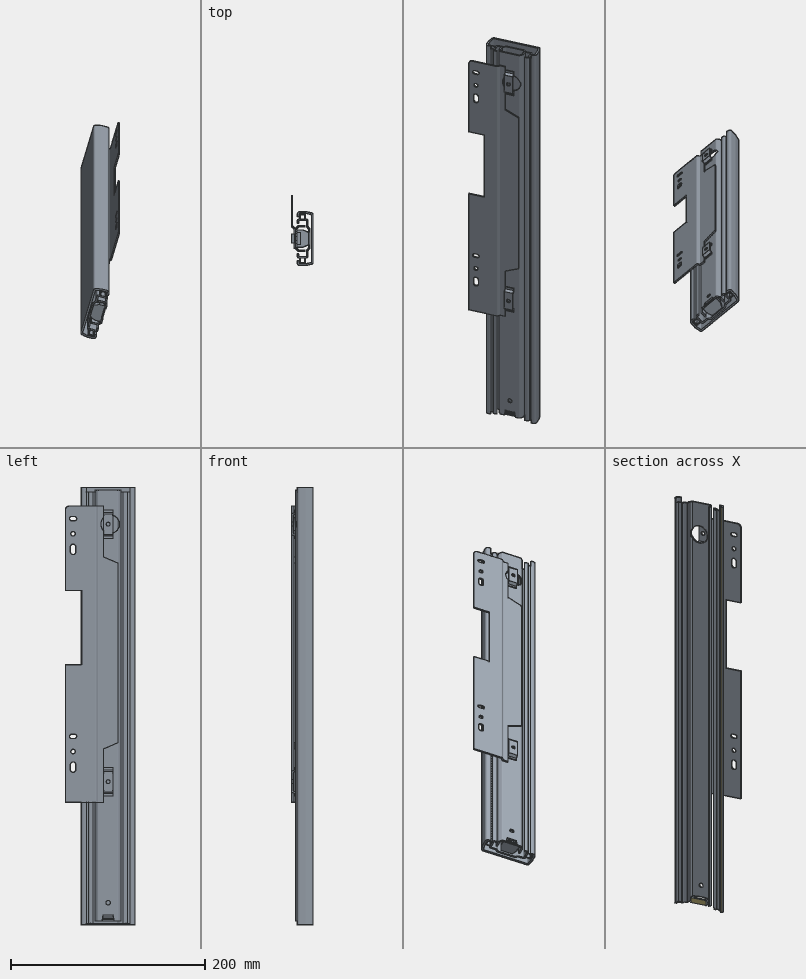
import cadquery as cq


depth = 22.6
length = 450.0
half_height = 27.8
plate_edge_y = 71.89 - half_height

outer_sheet = 2.0
outer_web_x = depth - outer_sheet / 2
outer_race_y = half_height - outer_sheet / 2
outer_flange_y = outer_race_y - 1.4
outer_race_back_x = 15.0
outer_lip_x = 7.0
outer_lip_end_y = 23.4
outer_race_bend = 2.0
outer_step_bend = 1.0
outer_web_bend = 1.6

mid_sheet = 1.6
mid_bottom_z = 1.5
mid_top_z = 445.3
mid_web_x = 18.6
mid_web_y = 9.5
mid_flange_x = 16.4
mid_flange_y = 12.5
mid_race_y = 19.2
mid_lip_x = 6.9
mid_lip_end_y = 16.2
mid_bend = 1.0

inner_sheet = 1.6
inner_bottom_z = 4.0
inner_top_z = 447.3
inner_face_x = 4.1
inner_web_x = inner_face_x + inner_sheet / 2
inner_web_y = 10.2
inner_flange_y = 12.6
inner_flange_front_x = 7.6
inner_flange_back_x = 13.5
inner_bend = 0.8
rail_hole_z = 22.8
rail_hole_diameter = 4.5
window_radius = 9.5
window_y = -2.0

bridge_width = 9.5
bridge_foot_span = 29.0
bridge_foot_length = 2.4
bridge_foot_rise = 1.0
bridge_top_span = 21.0
bridge_hole_diameter = 4.0
upper_bridge_z = 412.2
lower_bridge_z = 147.3

bracket_sheet = 1.5
bracket_bottom_z = 126.0
bracket_top_z = 430.9
bracket_step_top_y = 12.6
bracket_step_foot_y = 10.4
bracket_bend = 1.0
bracket_corner_radius = 4.0
bracket_notch_bottom_z = 267.8
bracket_notch_top_z = 343.7
bracket_notch_y = 26.9
tongue_end_y = bridge_width / 2
slope_rise = 6.5
tongue_bottom_z = 181.0
tongue_top_z = 378.5
bracket_hole_y = plate_edge_y - 8.0
hole_group_pitch = 224.0
lower_hole_z = 178.3
cross_slot_rise = 15.6
cross_slot_length = 7.2
cross_slot_width = 4.2
round_hole_diameter = 4.4
long_slot_drop = 16.0
long_slot_length = 10.5
long_slot_width = 5.4

cage_sheet = 1.0
cage_clearance = 0.4
cage_corner_radius = 0.8
cage_front_x = 8.3
cage_back_x = 14.8
cage_outside_y = outer_race_y - outer_sheet / 2 - cage_clearance
cage_inside_y = mid_race_y + mid_sheet / 2

stop_back_x = mid_web_x - mid_sheet / 2
stop_shoulder_x = 12.0
stop_front_width = 18.0
stop_back_width = 13.0
stop_height = 6.0
stop_pocket_depth = 4.0
stop_pocket_width = 12.0
stop_pocket_height = 2.0
stop_groove_height = 1.4
stop_opening_top_width = 10.0
stop_opening_bottom_width = 13.0


def mirrored(half_path):
    """Complete a (depth, height) half path, listed from its free end to the web, below Y = 0."""
    return half_path + [(x, -y) for x, y in reversed(half_path)]


def bent_sheet(path, thickness, bends, bottom_z, top_z):
    """Sheet metal profile following a centre line, with one bend radius for each inner corner."""
    wire = cq.Wire.makePolygon([cq.Vector(x, y, 0) for x, y in path])
    for (x, y), bend in zip(path[1:-1], bends):
        corner = cq.Vector(x, y, 0)
        vertex = min(wire.Vertices(), key=lambda v: (v.Center() - corner).Length)
        wire = wire.fillet(bend, [vertex])
    section = cq.Workplane("XY").newObject([wire]).toPending().offset2D(thickness / 2)
    return section.extrude(top_z - bottom_z).translate((0, 0, bottom_z))


def block(x_range, y_range, z_range):
    """Box given by its limits along each axis."""
    sizes = [high - low for low, high in (x_range, y_range, z_range)]
    corner = (x_range[0], y_range[0], z_range[0])
    return cq.Workplane("XY").box(*sizes, centered=False).translate(corner)


def depth_drill(y, z, diameter):
    """Round cutter along X, through the bracket and the inner rail web."""
    return cq.Workplane("YZ").center(y, z).circle(diameter / 2).extrude(inner_face_x + 2 * inner_sheet)


def depth_slot(y, z, slot_length, width, angle):
    """Slotted cutter along X; angle 0 lies along Y and 90 along Z."""
    return cq.Workplane("YZ").center(y, z).slot2D(slot_length, width, angle).extrude(inner_face_x)


def make_outer_rail():
    half_path = [
        (outer_lip_x, outer_lip_end_y),
        (outer_lip_x, outer_race_y),
        (outer_race_back_x, outer_race_y),
        (outer_web_x, outer_flange_y),
    ]
    half_bends = [outer_race_bend, outer_step_bend, outer_web_bend]
    bends = half_bends + half_bends[::-1]
    return bent_sheet(mirrored(half_path), outer_sheet, bends, 0, length)


def make_middle_rail():
    half_path = [
        (mid_lip_x, mid_lip_end_y),
        (mid_lip_x, mid_race_y),
        (mid_flange_x, mid_race_y),
        (mid_flange_x, mid_flange_y),
        (mid_web_x, mid_web_y),
    ]
    path = mirrored(half_path)
    bends = [mid_bend] * (len(path) - 2)
    return bent_sheet(path, mid_sheet, bends, mid_bottom_z, mid_top_z)


def make_bridge(z):
    """Raised strip standing on the inner rail web, with sloping ends and a centre hole."""
    foot = bridge_foot_span / 2
    top = bridge_top_span / 2
    ramp = foot - bridge_foot_length
    foot_x = inner_face_x - bridge_foot_rise
    outline = [
        (inner_face_x, -foot),
        (foot_x, -foot),
        (foot_x, -ramp),
        (0, -top),
        (0, top),
        (foot_x, ramp),
        (foot_x, foot),
        (inner_face_x, foot),
        (inner_face_x, ramp - inner_sheet),
        (inner_sheet, top - inner_sheet),
        (inner_sheet, inner_sheet - top),
        (inner_face_x, inner_sheet - ramp),
    ]
    strip = cq.Workplane("XZ").polyline(outline).close().extrude(bridge_width / 2, both=True)
    strip = strip.translate((0, 0, z))
    return strip.cut(depth_drill(0, z, bridge_hole_diameter))


def make_inner_rail():
    half_path = [
        (inner_flange_back_x, inner_flange_y),
        (inner_flange_front_x, inner_flange_y),
        (inner_web_x, inner_web_y),
    ]
    path = mirrored(half_path)
    bends = [inner_bend] * (len(path) - 2)
    rail = bent_sheet(path, inner_sheet, bends, inner_bottom_z, inner_top_z)
    rail = rail.cut(depth_drill(0, rail_hole_z, rail_hole_diameter))
    rail = rail.cut(depth_drill(window_y, upper_bridge_z, 2 * window_radius))
    opening_top_z = inner_bottom_z + stop_height
    opening_outline = [
        (-stop_opening_bottom_width / 2, inner_bottom_z - inner_sheet),
        (stop_opening_bottom_width / 2, inner_bottom_z - inner_sheet),
        (stop_opening_top_width / 2, opening_top_z),
        (-stop_opening_top_width / 2, opening_top_z),
    ]
    opening = cq.Workplane("YZ").polyline(opening_outline).close().extrude(inner_face_x + inner_sheet)
    rail = rail.cut(opening)
    for bridge_z in (upper_bridge_z, lower_bridge_z):
        rail = rail.union(make_bridge(bridge_z))
    return rail


def make_bracket():
    path = [
        (bracket_sheet / 2, plate_edge_y + bracket_sheet),
        (bracket_sheet / 2, bracket_step_top_y),
        (inner_face_x - bracket_sheet / 2, bracket_step_foot_y),
        (inner_face_x - bracket_sheet / 2, -inner_web_y - bracket_sheet),
    ]
    sheet = bent_sheet(path, bracket_sheet, [bracket_bend] * 2, bracket_bottom_z, bracket_top_z)
    blank_outline = [
        (tongue_end_y, bracket_bottom_z),
        (tongue_end_y, tongue_bottom_z),
        (-inner_web_y, tongue_bottom_z + slope_rise),
        (-inner_web_y, tongue_top_z - slope_rise),
        (tongue_end_y, tongue_top_z),
        (tongue_end_y, bracket_top_z),
        (plate_edge_y, bracket_top_z),
        (plate_edge_y, bracket_notch_top_z),
        (bracket_notch_y, bracket_notch_top_z),
        (bracket_notch_y, bracket_notch_bottom_z),
        (plate_edge_y, bracket_notch_bottom_z),
        (plate_edge_y, bracket_bottom_z),
    ]
    blank = cq.Workplane("YZ").polyline(blank_outline).close().extrude(inner_face_x)
    top_corner = cq.selectors.NearestToPointSelector((inner_face_x / 2, plate_edge_y, bracket_top_z))
    blank = blank.edges("|X").edges(top_corner).fillet(bracket_corner_radius)
    bracket = sheet.intersect(blank)
    bracket = bracket.cut(depth_drill(window_y, upper_bridge_z, 2 * window_radius))
    for hole_z in (lower_hole_z, lower_hole_z + hole_group_pitch):
        cross_z = hole_z + cross_slot_rise
        long_z = hole_z - long_slot_drop
        bracket = bracket.cut(depth_slot(bracket_hole_y, cross_z, cross_slot_length, cross_slot_width, 0))
        bracket = bracket.cut(depth_drill(bracket_hole_y, hole_z, round_hole_diameter))
        bracket = bracket.cut(depth_slot(bracket_hole_y, long_z, long_slot_length, long_slot_width, 90))
    return bracket


def make_ball_cage(side):
    """U-shaped cage lying in the race of the outer rail; side is 1 or -1."""
    outline = [
        (cage_front_x, cage_inside_y),
        (cage_front_x, cage_outside_y),
        (cage_back_x, cage_outside_y),
        (cage_back_x, cage_inside_y),
        (cage_back_x - cage_sheet, cage_inside_y),
        (cage_back_x - cage_sheet, cage_outside_y - cage_sheet),
        (cage_front_x + cage_sheet, cage_outside_y - cage_sheet),
        (cage_front_x + cage_sheet, cage_inside_y),
    ]
    points = [(x, side * y) for x, y in outline]
    cage = cq.Workplane("XY").polyline(points).close().extrude(mid_top_z - mid_bottom_z)
    cage = cage.edges("|Z").edges(">Y" if side > 0 else "<Y").fillet(cage_corner_radius)
    return cage.translate((0, 0, mid_bottom_z))


def make_end_stop():
    """Block tapering toward the middle rail, pocketed on top and grooved across its front."""
    front_x = inner_face_x + inner_sheet
    front_y = stop_front_width / 2
    back_y = stop_back_width / 2
    outline = [
        (front_x, -front_y),
        (stop_shoulder_x, -front_y),
        (stop_back_x, -back_y),
        (stop_back_x, back_y),
        (stop_shoulder_x, front_y),
        (front_x, front_y),
    ]
    top_z = inner_bottom_z + stop_height
    stop = cq.Workplane("XY").polyline(outline).close().extrude(stop_height)
    stop = stop.translate((0, 0, inner_bottom_z))
    pocket = block(
        (front_x, front_x + stop_pocket_depth),
        (-stop_pocket_width / 2, stop_pocket_width / 2),
        (top_z - stop_pocket_height, top_z),
    )
    groove_bottom_z = inner_bottom_z + stop_groove_height
    groove = block(
        (front_x, front_x + stop_groove_height),
        (-front_y, front_y),
        (groove_bottom_z, groove_bottom_z + stop_groove_height),
    )
    return stop.cut(pocket).cut(groove)


outer_rail = make_outer_rail()
middle_rail = make_middle_rail()
inner_rail = make_inner_rail()
bracket = make_bracket()
ball_cages = [make_ball_cage(side) for side in (1, -1)]
end_stop = make_end_stop()

result = cq.Compound.makeCompound(
    [
        outer_rail.val(),
        middle_rail.val(),
        inner_rail.val(),
        bracket.val(),
        *[cage.val() for cage in ball_cages],
        end_stop.val(),
    ]
)